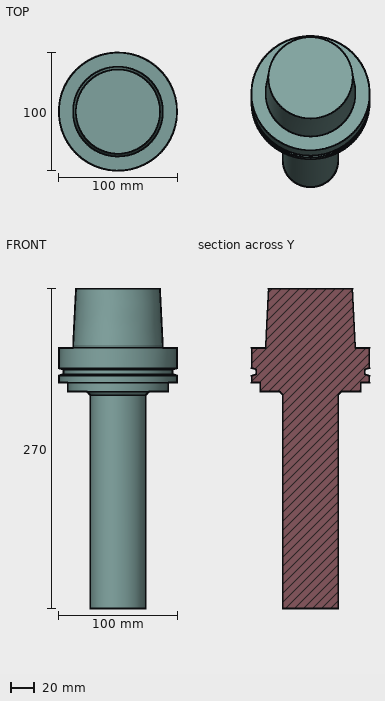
import cadquery as cq

total_height = 270.0

shank_diameter = 47.0
collar_top_diameter = 52.5
pilot_diameter = 85.0
flange_diameter = 100.0
groove_diameter = 92.0
taper_base_diameter = 76.0
taper_tip_diameter = 71.0

taper_length = 50.0
taper_land_height = 1.5
upper_flange_height = 17.3
groove_upper_slope_height = 1.0
groove_floor_height = 3.8
groove_lower_slope_height = 1.4
lower_flange_height = 6.0
pilot_height = 7.5
collar_height = 3.0

flange_top = total_height - taper_length
taper_base = flange_top + taper_land_height
groove_top = flange_top - upper_flange_height
groove_floor_top = groove_top - groove_upper_slope_height
groove_floor_bottom = groove_floor_top - groove_floor_height
groove_bottom = groove_floor_bottom - groove_lower_slope_height
flange_bottom = groove_bottom - lower_flange_height
pilot_bottom = flange_bottom - pilot_height
collar_bottom = pilot_bottom - collar_height

section = [
    (0, 0),
    (shank_diameter, 0),
    (shank_diameter, collar_bottom),
    (collar_top_diameter, pilot_bottom),
    (pilot_diameter, pilot_bottom),
    (pilot_diameter, flange_bottom),
    (flange_diameter, flange_bottom),
    (flange_diameter, groove_bottom),
    (groove_diameter, groove_floor_bottom),
    (groove_diameter, groove_floor_top),
    (flange_diameter, groove_top),
    (flange_diameter, flange_top),
    (taper_base_diameter, flange_top),
    (taper_base_diameter, taper_base),
    (taper_tip_diameter, total_height),
    (0, total_height),
]

result = (
    cq.Workplane("XZ")
    .polyline([(diameter / 2, level) for diameter, level in section])
    .close()
    .revolve(360, (0, 0), (0, 1))
)